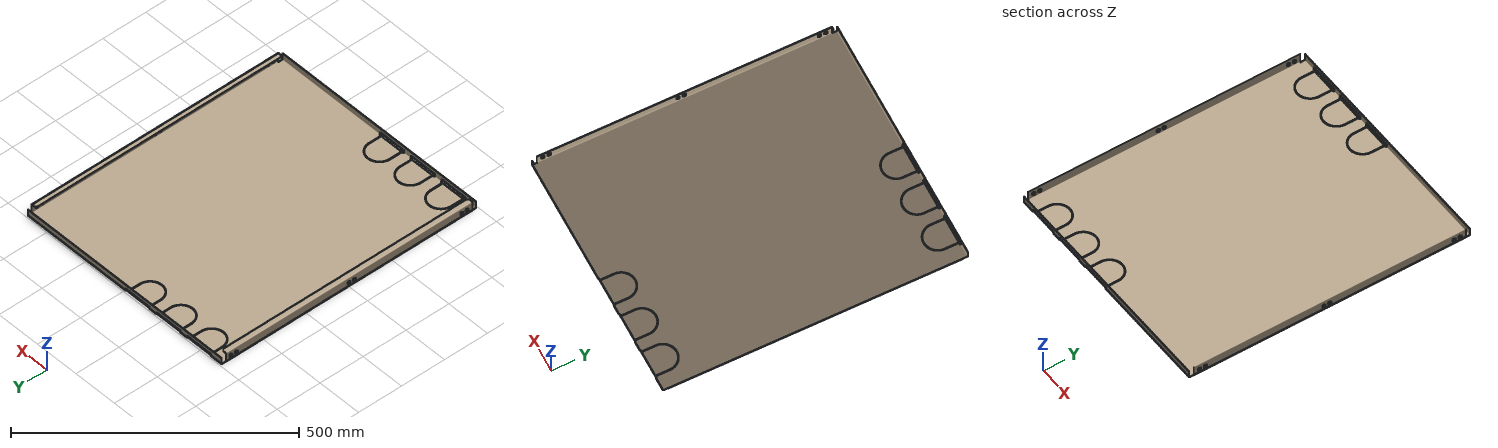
import cadquery as cq
import math

LENGTH_X = 506.4
LENGTH_Y = 594.0
HEIGHT = 22.2

THICKNESS = 1.2
INNER_RADIUS = 0.8
OUTER_RADIUS = INNER_RADIUS + THICKNESS

MID_BEND = math.sqrt(0.5)
OUTER_ARC = OUTER_RADIUS * MID_BEND
INNER_ARC = INNER_RADIUS * MID_BEND

END_FLANGE_HEIGHT = 15.2
END_FLANGE_LENGTH = 503.6
SIDE_FLANGE_LENGTH = 574.0
LIP_WIDTH = 12.0
LIP_CHAMFER = 4.5

HOLE_DIAMETER = 7.0
HOLE_HEIGHT = 9.0
HOLE_PITCH = 12.5
OUTER_HOLE_Y = 275.0
HOLE_POSITIONS_Y = (
    -OUTER_HOLE_Y,
    -OUTER_HOLE_Y + HOLE_PITCH,
    -HOLE_PITCH,
    0.0,
    OUTER_HOLE_Y - HOLE_PITCH,
    OUTER_HOLE_Y,
)

KNOCKOUT_COUNT = 3
KNOCKOUT_PITCH = 80.0
FIRST_KNOCKOUT_X = -193.4
SLOT_RADIUS = 27.6
SLOT_WIDTH = 1.2
ARC_CENTRE_Y = 267.0
BRIDGE_WIDTH = 2.0
WINDOW_WIDTH = 62.5
WINDOW_TOP = 5.4
WINDOW_DEPTH = 2.3


def box(x_min, x_max, y_min, y_max, z_min, z_max):
    """Axis-aligned box given by its limits."""
    size = (x_max - x_min, y_max - y_min, z_max - z_min)
    return cq.Workplane("XY").box(*size, centered=False).translate((x_min, y_min, z_min))


def make_floor():
    """Flat floor that reaches to the start of every bend, as wide as the end flanges at its ends."""
    half_x = LENGTH_X / 2 - OUTER_RADIUS
    half_y = LENGTH_Y / 2 - OUTER_RADIUS
    half_end_x = END_FLANGE_LENGTH / 2
    half_side_y = SIDE_FLANGE_LENGTH / 2
    middle = box(-half_x, half_x, -half_y, half_y, 0, THICKNESS)
    end_strip = box(-half_end_x, half_end_x, half_side_y, half_y, 0, THICKNESS)
    return middle.union(end_strip).union(end_strip.mirror("XZ"))


def make_end_flange():
    """Bend and upright flange along the +Y edge."""
    outer_y = LENGTH_Y / 2
    bend_y = outer_y - OUTER_RADIUS
    return (
        cq.Workplane("YZ")
        .moveTo(bend_y, 0)
        .threePointArc(
            (bend_y + OUTER_ARC, OUTER_RADIUS - OUTER_ARC),
            (outer_y, OUTER_RADIUS),
        )
        .lineTo(outer_y, END_FLANGE_HEIGHT)
        .lineTo(outer_y - THICKNESS, END_FLANGE_HEIGHT)
        .lineTo(outer_y - THICKNESS, OUTER_RADIUS)
        .threePointArc(
            (bend_y + INNER_ARC, OUTER_RADIUS - INNER_ARC),
            (bend_y, THICKNESS),
        )
        .close()
        .extrude(END_FLANGE_LENGTH / 2, both=True)
    )


def make_side_flange():
    """Bend, upright flange and inward lip along the +X edge."""
    outer_x = LENGTH_X / 2
    bend_x = outer_x - OUTER_RADIUS
    lip_x = outer_x - LIP_WIDTH
    upper_bend_z = HEIGHT - OUTER_RADIUS
    flange = (
        cq.Workplane("XZ")
        .moveTo(bend_x, 0)
        .threePointArc((bend_x + OUTER_ARC, OUTER_RADIUS - OUTER_ARC), (outer_x, OUTER_RADIUS))
        .lineTo(outer_x, upper_bend_z)
        .threePointArc((bend_x + OUTER_ARC, upper_bend_z + OUTER_ARC), (bend_x, HEIGHT))
        .lineTo(lip_x, HEIGHT)
        .lineTo(lip_x, HEIGHT - THICKNESS)
        .lineTo(bend_x, HEIGHT - THICKNESS)
        .threePointArc(
            (bend_x + INNER_ARC, upper_bend_z + INNER_ARC),
            (outer_x - THICKNESS, upper_bend_z),
        )
        .lineTo(outer_x - THICKNESS, OUTER_RADIUS)
        .threePointArc((bend_x + INNER_ARC, OUTER_RADIUS - INNER_ARC), (bend_x, THICKNESS))
        .close()
        .extrude(SIDE_FLANGE_LENGTH / 2, both=True)
    )
    return flange.faces("<X").edges("|Z").chamfer(LIP_CHAMFER)


def make_side_holes():
    """Screw holes that run through both side flanges."""
    points = [(y, HOLE_HEIGHT) for y in HOLE_POSITIONS_Y]
    return cq.Workplane("YZ").pushPoints(points).circle(HOLE_DIAMETER / 2).extrude(LENGTH_X, both=True)


def u_outline(centre_x, radius):
    """U-shaped prism open towards the +Y edge, as tall as the floor sheet."""
    edge_y = LENGTH_Y / 2
    return (
        cq.Workplane("XY")
        .moveTo(centre_x - radius, edge_y)
        .lineTo(centre_x - radius, ARC_CENTRE_Y)
        .threePointArc((centre_x, ARC_CENTRE_Y - radius), (centre_x + radius, ARC_CENTRE_Y))
        .lineTo(centre_x + radius, edge_y)
        .close()
        .extrude(THICKNESS)
    )


def make_knockout(centre_x):
    """Material removed for one knockout at the +Y edge."""
    edge_y = LENGTH_Y / 2
    slot = u_outline(centre_x, SLOT_RADIUS).cut(u_outline(centre_x, SLOT_RADIUS - SLOT_WIDTH))
    bridge = box(
        centre_x - BRIDGE_WIDTH / 2,
        centre_x + BRIDGE_WIDTH / 2,
        ARC_CENTRE_Y - SLOT_RADIUS,
        ARC_CENTRE_Y,
        0,
        THICKNESS,
    )
    window = box(
        centre_x - WINDOW_WIDTH / 2,
        centre_x + WINDOW_WIDTH / 2,
        edge_y - WINDOW_DEPTH,
        edge_y,
        0,
        WINDOW_TOP,
    )
    return slot.cut(bridge).union(window)


end_flange = make_end_flange()
side_flange = make_side_flange()
tray = make_floor()
tray = tray.union(end_flange).union(end_flange.mirror("XZ"))
tray = tray.union(side_flange).union(side_flange.mirror("YZ"))
tray = tray.cut(make_side_holes())
for index in range(KNOCKOUT_COUNT):
    knockout = make_knockout(FIRST_KNOCKOUT_X + index * KNOCKOUT_PITCH)
    tray = tray.cut(knockout).cut(knockout.mirror("XZ"))

result = tray